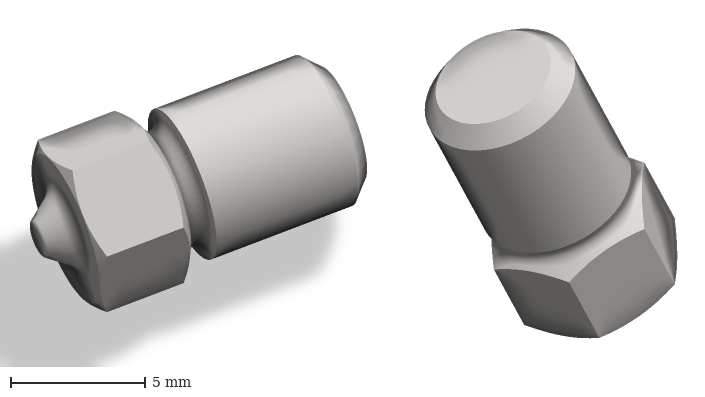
import cadquery as cq
import math

length = 12.5
across_flats = 6.0
barrel_radius = across_flats / 2
hex_corner_radius = across_flats / math.sqrt(3)

tip_flat_radius = 0.59
tip_edge_round = 0.22
tip_root_fillet = 0.8
tip_half_angle = math.radians(36.5)

hex_front = 1.18
hex_face_radius = 2.98
hex_rear_corner = 4.61
hex_chamfer_slope = math.tan(math.radians(60))

neck_radius = 2.3
neck_fillet = 0.4
shoulder_angle = math.radians(10)
rear_chamfer = barrel_radius - neck_radius
half_length = length / 2


def on_circle(center, radius, angle):
    """Point (r, y) on a circle, with the angle measured from the +r direction."""
    return (center[0] + radius * math.cos(angle), center[1] + radius * math.sin(angle))


def revolve(profile):
    """Close an (r, y) profile and revolve it about the Y axis."""
    return profile.close().revolve(360, (0, 0, 0), (0, 1, 0))


edge_center = (tip_flat_radius, -half_length + tip_edge_round)
cone_start = on_circle(edge_center, tip_edge_round, -tip_half_angle)
edge_middle = on_circle(edge_center, tip_edge_round, -(math.pi / 2 + tip_half_angle) / 2)

face_y = -half_length + hex_front
cone_end_y = face_y - tip_root_fillet * (1 - math.sin(tip_half_angle))
cone_end_r = cone_start[0] + (cone_end_y - cone_start[1]) * math.tan(tip_half_angle)
root_center = (cone_end_r + tip_root_fillet * math.cos(tip_half_angle), face_y - tip_root_fillet)
root_middle = on_circle(root_center, tip_root_fillet, math.pi - (math.pi / 2 + tip_half_angle) / 2)
root_end = (root_center[0], face_y)

rear_corner_y = -half_length + hex_rear_corner
neck_center_r = neck_radius + neck_fillet
neck_start_angle = math.pi + math.atan(hex_chamfer_slope)
neck_start_r = neck_center_r + neck_fillet * math.cos(neck_start_angle)
neck_start_y = rear_corner_y + (hex_corner_radius - neck_start_r) / hex_chamfer_slope
neck_y = neck_start_y - neck_fillet * math.sin(neck_start_angle)
neck_center = (neck_center_r, neck_y)
neck_bottom = (neck_radius, neck_y)

front_corner_y = face_y + (hex_corner_radius - hex_face_radius) / hex_chamfer_slope
front_blank = revolve(
    cq.Workplane("XY")
    .moveTo(0, -half_length)
    .lineTo(tip_flat_radius, -half_length)
    .threePointArc(edge_middle, cone_start)
    .lineTo(cone_end_r, cone_end_y)
    .threePointArc(root_middle, root_end)
    .lineTo(hex_face_radius, face_y)
    .lineTo(hex_corner_radius, front_corner_y)
    .lineTo(hex_corner_radius, rear_corner_y)
    .lineTo(neck_start_r, neck_start_y)
    .threePointArc(on_circle(neck_center, neck_fillet, (neck_start_angle + math.pi) / 2), neck_bottom)
    .lineTo(0, neck_y)
)

hex_bar = (
    cq.Workplane("XZ")
    .transformed(rotate=(0, 0, 90))
    .polygon(6, 2 * hex_corner_radius)
    .extrude(half_length, both=True)
)
front = front_blank.intersect(hex_bar)

neck_end_angle = math.pi / 2 + shoulder_angle
neck_end = on_circle(neck_center, neck_fillet, neck_end_angle)
barrel_start_y = neck_end[1] + (barrel_radius - neck_end[0]) * math.tan(shoulder_angle)
barrel = revolve(
    cq.Workplane("XY")
    .moveTo(0, neck_y)
    .lineTo(*neck_bottom)
    .threePointArc(on_circle(neck_center, neck_fillet, (math.pi + neck_end_angle) / 2), neck_end)
    .lineTo(barrel_radius, barrel_start_y)
    .lineTo(barrel_radius, half_length - rear_chamfer)
    .lineTo(barrel_radius - rear_chamfer, half_length)
    .lineTo(0, half_length)
)

result = front.union(barrel)